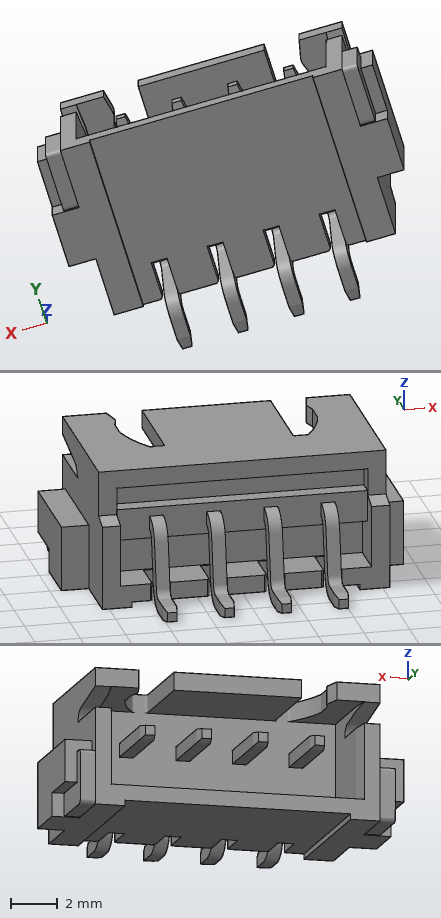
import cadquery as cq
import math


HOUSING_WIDTH = 12.6
HOUSING_LENGTH = 7.83
HOUSING_HEIGHT = 6.0
WALL = 0.8
FLOOR_TOP = 1.0
SEAT_RELIEF_WIDTH = 9.99
SEAT_RELIEF_HEIGHT = 0.24
INSIDE_WIDTH = HOUSING_WIDTH - 2 * WALL
CEILING = HOUSING_HEIGHT - WALL

SHOULDER_DEPTH = 0.74
SHOULDER_BOTTOM = 3.75
SHOULDER_TOP = 4.0

LEDGE_FACE = WALL
LEDGE_BOTTOM = 2.8
LEDGE_TOP = 4.2
UPPER_POCKET_DEPTH = 1.52
LOWER_POCKET_DEPTH = 1.83
LOWER_POCKET_TOP = 2.48

CAVITY_DEPTH = 4.48
LEAD_IN_DEPTH = 0.99
LEAD_IN_FLARE = 0.09

SLIT_DEPTH = 2.91
SLIT_BOTTOM = 4.26
SLIT_END_RADIUS = 0.52
SLIT_SLOPE = 9.5

LATCH_INNER_OFFSET = 2.82
LATCH_END_OFFSET = 3.46
LATCH_MOUTH_OFFSET = 4.38
LATCH_NECK_OFFSET = 4.17
LATCH_NECK_DEPTH = 0.95
LATCH_BULGE_OFFSET = 4.34
LATCH_BULGE_START = 1.44
LATCH_BULGE_END = 2.45
LATCH_CURVE_OFFSET = 4.05
LATCH_CURVE_DEPTH = 3.4
LATCH_NECK_RADIUS = 0.6
LATCH_CORNER_RADIUS = 0.09

OVERALL_WIDTH = 15.0
EAR_HEIGHT = 2.9
EAR_BACK = 5.16
TAB_WIDTH = 0.68
TAB_THICKNESS = 0.55
TAB_HEIGHT = 2.38
TAB_FOOT_LENGTH = 2.72
TAB_FOOT_HEIGHT = 1.04
TAB_EDGE_RADIUS = 0.18

PIN_COUNT = 4
PIN_PITCH = 2.5
PIN_SIZE = 0.6
PIN_TOP = 3.8
PIN_INNER_RADIUS = 0.4
PIN_OUTER_RADIUS = PIN_INNER_RADIUS + PIN_SIZE
PIN_LEAN = math.radians(10)
PIN_TAIL_REACH = 2.37
PIN_TIP_SETBACK = 0.48
PIN_TIP_LENGTH = 0.51
PIN_TIP_INSET = 0.09

FLOOR_SLOT_WIDTH = 0.7
FLOOR_SLOT_DEPTH = 1.72
FLOOR_SLOT_CHAMFER = 0.09

pin_positions = [(i - (PIN_COUNT - 1) / 2) * PIN_PITCH for i in range(PIN_COUNT)]


def block(x_range, y_range, z_range):
    """Axis-aligned box between the given limits."""
    sizes = [high - low for low, high in (x_range, y_range, z_range)]
    corner = (x_range[0], y_range[0], z_range[0])
    return cq.Workplane("XY").box(*sizes, centered=False).translate(corner)


def centred_prism(profile, width):
    """Extrude a closed YZ outline to both sides of the centre plane."""
    return profile.extrude(width / 2, both=True)


def housing_shell():
    """Solid block with the stepped tail end and the relief in its seat."""
    side = (
        cq.Workplane("YZ")
        .moveTo(0, 0)
        .lineTo(HOUSING_LENGTH, 0)
        .lineTo(HOUSING_LENGTH, HOUSING_HEIGHT)
        .lineTo(SHOULDER_DEPTH, HOUSING_HEIGHT)
        .lineTo(SHOULDER_DEPTH, SHOULDER_TOP)
        .lineTo(0, SHOULDER_BOTTOM)
        .close()
    )
    relief_half = SEAT_RELIEF_WIDTH / 2
    relief = block((-relief_half, relief_half), (0, HOUSING_LENGTH), (0, SEAT_RELIEF_HEIGHT))
    return centred_prism(side, HOUSING_WIDTH).cut(relief)


def tail_pocket():
    """Pocket behind the pins, shaped around the ledge that holds them."""
    side = (
        cq.Workplane("YZ")
        .moveTo(0, FLOOR_TOP)
        .lineTo(LOWER_POCKET_DEPTH, FLOOR_TOP)
        .lineTo(LOWER_POCKET_DEPTH, LOWER_POCKET_TOP)
        .lineTo(LEDGE_FACE, LEDGE_BOTTOM)
        .lineTo(LEDGE_FACE, LEDGE_TOP)
        .lineTo(UPPER_POCKET_DEPTH, LEDGE_TOP)
        .lineTo(UPPER_POCKET_DEPTH, CEILING)
        .lineTo(0, CEILING)
        .close()
    )
    return centred_prism(side, INSIDE_WIDTH)


def mating_cavity():
    """Cavity for the plug, with its floor and sides flared at the mouth."""
    half = INSIDE_WIDTH / 2
    cavity_start = HOUSING_LENGTH - CAVITY_DEPTH
    cavity = block((-half, half), (cavity_start, HOUSING_LENGTH), (FLOOR_TOP, CEILING))
    height = CEILING - FLOOR_TOP
    lead_in = (
        cq.Workplane("XZ", origin=(0, HOUSING_LENGTH - LEAD_IN_DEPTH, FLOOR_TOP + height / 2))
        .rect(INSIDE_WIDTH, height)
        .workplane(offset=-LEAD_IN_DEPTH)
        .center(0, -LEAD_IN_FLARE / 2)
        .rect(INSIDE_WIDTH + 2 * LEAD_IN_FLARE, height + LEAD_IN_FLARE)
        .loft(ruled=True)
    )
    return cavity.union(lead_in)


def side_slits():
    """Slit through both side walls, its sloping roof rounded into the closed end."""
    slope = math.radians(SLIT_SLOPE)
    slit_end = HOUSING_LENGTH - SLIT_DEPTH
    arc_centre = slit_end + SLIT_END_RADIUS

    def on_arc(angle):
        return (
            arc_centre + SLIT_END_RADIUS * math.cos(angle),
            SLIT_BOTTOM + SLIT_END_RADIUS * math.sin(angle),
        )

    tangent_angle = math.pi / 2 + slope
    roof_start = on_arc(tangent_angle)
    middle = (math.pi + tangent_angle) / 2
    mouth_top = roof_start[1] + (HOUSING_LENGTH - roof_start[0]) * math.tan(slope)
    side = (
        cq.Workplane("YZ")
        .moveTo(HOUSING_LENGTH, SLIT_BOTTOM)
        .lineTo(slit_end, SLIT_BOTTOM)
        .threePointArc(on_arc(middle), roof_start)
        .lineTo(HOUSING_LENGTH, mouth_top)
        .close()
    )
    return centred_prism(side, HOUSING_WIDTH)


def latch_slot():
    """Ceiling slot on the +X side: straight inside edge, necked and bulged outside edge."""

    def at(offset, depth):
        return (offset, HOUSING_LENGTH - depth)

    slot = (
        cq.Workplane("XY", origin=(0, 0, CEILING))
        .moveTo(*at(LATCH_INNER_OFFSET, 0))
        .lineTo(*at(LATCH_INNER_OFFSET, CAVITY_DEPTH))
        .lineTo(*at(LATCH_END_OFFSET, CAVITY_DEPTH))
        .threePointArc(
            at(LATCH_CURVE_OFFSET, LATCH_CURVE_DEPTH),
            at(LATCH_BULGE_OFFSET, LATCH_BULGE_END),
        )
        .lineTo(*at(LATCH_BULGE_OFFSET, LATCH_BULGE_START))
        .lineTo(*at(LATCH_NECK_OFFSET, LATCH_NECK_DEPTH))
        .lineTo(*at(LATCH_MOUTH_OFFSET, 0))
        .close()
        .extrude(WALL)
    )
    neck_point = (*at(LATCH_NECK_OFFSET, LATCH_NECK_DEPTH), CEILING + WALL / 2)
    neck_edge = cq.selectors.NearestToPointSelector(neck_point)
    slot = slot.edges("|Z").edges(neck_edge).fillet(LATCH_NECK_RADIUS)
    return slot.edges("|Z and <Y").fillet(LATCH_CORNER_RADIUS)


def floor_slot(x):
    """Slot through the tail floor under one pin, chamfered where it opens."""
    half = FLOOR_SLOT_WIDTH / 2
    return (
        cq.Workplane("XY")
        .moveTo(x - half - FLOOR_SLOT_CHAMFER, 0)
        .lineTo(x - half, FLOOR_SLOT_CHAMFER)
        .lineTo(x - half, FLOOR_SLOT_DEPTH)
        .lineTo(x + half, FLOOR_SLOT_DEPTH)
        .lineTo(x + half, FLOOR_SLOT_CHAMFER)
        .lineTo(x + half + FLOOR_SLOT_CHAMFER, 0)
        .close()
        .extrude(FLOOR_TOP)
    )


def pin_hole(x):
    """Square hole through the ledge and the wall behind it."""
    half = PIN_SIZE / 2
    return block(
        (x - half, x + half),
        (LEDGE_FACE, HOUSING_LENGTH - CAVITY_DEPTH),
        (PIN_TOP - PIN_SIZE, PIN_TOP),
    )


def ear():
    """Ear on the +X side, notched underneath for the foot of the solder tab."""
    x_range = (HOUSING_WIDTH / 2, OVERALL_WIDTH / 2)
    body = block(
        x_range,
        (HOUSING_LENGTH - EAR_BACK, HOUSING_LENGTH - TAB_THICKNESS),
        (0, EAR_HEIGHT),
    )
    notch = block(x_range, (HOUSING_LENGTH - TAB_FOOT_LENGTH, HOUSING_LENGTH), (0, TAB_FOOT_HEIGHT))
    return body.cut(notch)


def make_housing():
    body = housing_shell().cut(tail_pocket()).cut(mating_cavity()).cut(side_slits())
    for feature in (latch_slot(), latch_slot().mirror("YZ")):
        body = body.cut(feature)
    for x in pin_positions:
        body = body.cut(floor_slot(x)).cut(pin_hole(x))
    return body.union(ear()).union(ear().mirror("YZ"))


def make_solder_tab():
    """L-shaped tab beside the +X wall: an upright leg on a long foot."""
    back = HOUSING_LENGTH - TAB_FOOT_LENGTH
    leg_back = HOUSING_LENGTH - TAB_THICKNESS
    tab = (
        cq.Workplane("YZ", origin=(HOUSING_WIDTH / 2, 0, 0))
        .moveTo(back, 0)
        .lineTo(HOUSING_LENGTH, 0)
        .lineTo(HOUSING_LENGTH, TAB_HEIGHT)
        .lineTo(leg_back, TAB_HEIGHT)
        .lineTo(leg_back, TAB_FOOT_HEIGHT)
        .lineTo(back, TAB_FOOT_HEIGHT)
        .close()
        .extrude(TAB_WIDTH)
    )
    return tab.edges("|X and (>Y or <Z)").fillet(TAB_EDGE_RADIUS)


def pin_tip(y, z, direction):
    """Four-sided tapered tip that starts at y and points along +Y (1) or -Y (-1)."""
    taper = math.degrees(math.atan(PIN_TIP_INSET / PIN_TIP_LENGTH))
    plane = cq.Plane(origin=(0, y, z), xDir=(1, 0, 0), normal=(0, direction, 0))
    return cq.Workplane(plane).rect(PIN_SIZE, PIN_SIZE).extrude(PIN_TIP_LENGTH, taper=taper)


def make_pin():
    """Pin at X = 0: straight contact, bend down, leaning leg, bend out, flat foot."""
    upper_y = LEDGE_FACE
    upper_z = PIN_TOP - PIN_OUTER_RADIUS
    lower_z = PIN_SIZE + PIN_INNER_RADIUS
    radius_sum = PIN_INNER_RADIUS + PIN_OUTER_RADIUS
    leg_length = (upper_z - lower_z + radius_sum * math.sin(PIN_LEAN)) / math.cos(PIN_LEAN)
    lower_y = upper_y - radius_sum * math.cos(PIN_LEAN) - leg_length * math.sin(PIN_LEAN)

    def around_upper(radius, angle):
        return (upper_y - radius * math.sin(angle), upper_z + radius * math.cos(angle))

    def around_lower(radius, angle):
        return (lower_y + radius * math.sin(angle), lower_z - radius * math.cos(angle))

    bend = math.pi / 2 - PIN_LEAN
    contact_end = HOUSING_LENGTH - PIN_TIP_SETBACK - PIN_TIP_LENGTH
    foot_end = PIN_TIP_LENGTH - PIN_TAIL_REACH
    body = (
        cq.Workplane("YZ")
        .moveTo(contact_end, PIN_TOP)
        .lineTo(*around_upper(PIN_OUTER_RADIUS, 0))
        .threePointArc(around_upper(PIN_OUTER_RADIUS, bend / 2), around_upper(PIN_OUTER_RADIUS, bend))
        .lineTo(*around_lower(PIN_INNER_RADIUS, bend))
        .threePointArc(around_lower(PIN_INNER_RADIUS, bend / 2), around_lower(PIN_INNER_RADIUS, 0))
        .lineTo(foot_end, PIN_SIZE)
        .lineTo(foot_end, 0)
        .lineTo(*around_lower(PIN_OUTER_RADIUS, 0))
        .threePointArc(around_lower(PIN_OUTER_RADIUS, bend / 2), around_lower(PIN_OUTER_RADIUS, bend))
        .lineTo(*around_upper(PIN_INNER_RADIUS, bend))
        .threePointArc(around_upper(PIN_INNER_RADIUS, bend / 2), around_upper(PIN_INNER_RADIUS, 0))
        .lineTo(contact_end, PIN_TOP - PIN_SIZE)
        .close()
    )
    mating_tip = pin_tip(contact_end, PIN_TOP - PIN_SIZE / 2, 1)
    foot_tip = pin_tip(foot_end, PIN_SIZE / 2, -1)
    return centred_prism(body, PIN_SIZE).union(mating_tip).union(foot_tip)


housing = make_housing()
pins = [make_pin().translate((x, 0, 0)) for x in pin_positions]
solder_tabs = [make_solder_tab(), make_solder_tab().mirror("YZ")]

result = cq.Compound.makeCompound([housing.val(), *[body.val() for body in pins + solder_tabs]])